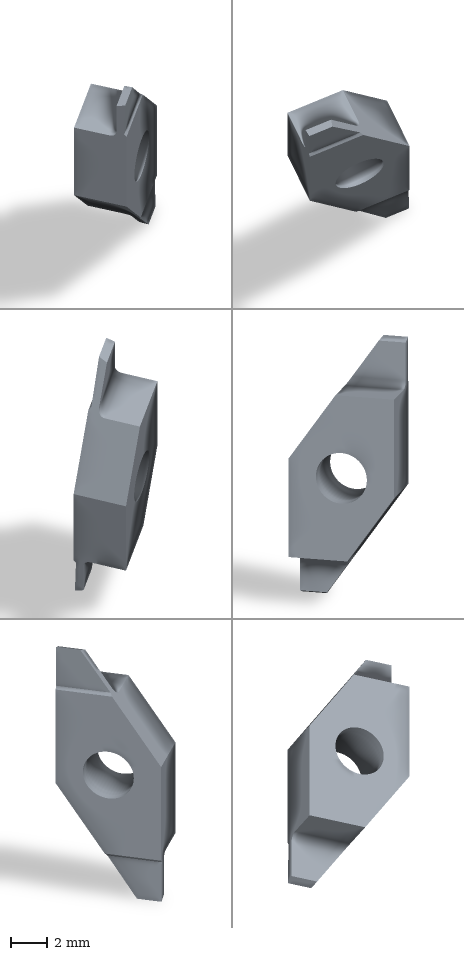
import cadquery as cq

thickness = 3.0
width = 6.0
height = 15.0
half_width = width / 2
half_height = height / 2

shoulder_height = 0.92
tip_inner_y = 1.6
hole_diameter = 2.9

body_half_height = 4.72
back_half_height = 4.9
blade_front_x = 2.43
blade_root_x = 2.86
blade_tip_x = 2.92
root_fillet = 0.4
back_relief_height = 0.16
tip_bevel = 0.2


def make_section():
    """Thick body with a thin blade on each end, extruded across the width."""
    upper = (
        cq.Workplane("XZ", origin=(0, half_width, 0))
        .lineTo(0, body_half_height)
        .lineTo(blade_front_x - root_fillet, body_half_height)
        .radiusArc((blade_front_x, body_half_height + root_fillet), -root_fillet)
        .lineTo(blade_front_x, half_height - tip_bevel)
        .lineTo(blade_tip_x, half_height)
        .lineTo(blade_root_x, back_half_height + back_relief_height)
        .lineTo(thickness, back_half_height)
        .lineTo(thickness, 0)
        .close()
        .extrude(width)
    )
    return upper.union(upper.mirror("XY"))


def make_outline():
    """Six-sided plate, unchanged by a half turn about X."""
    half_outline = [
        (-half_width, -shoulder_height),
        (-half_width, half_height),
        (-tip_inner_y, half_height),
    ]
    other_half = [(-y, -z) for y, z in half_outline]
    return cq.Workplane("YZ").polyline(half_outline + other_half).close().extrude(thickness)


def make_hole():
    """Mounting hole through the centre, along X."""
    return cq.Workplane("YZ").circle(hole_diameter / 2).extrude(thickness)


result = make_section().intersect(make_outline()).cut(make_hole())